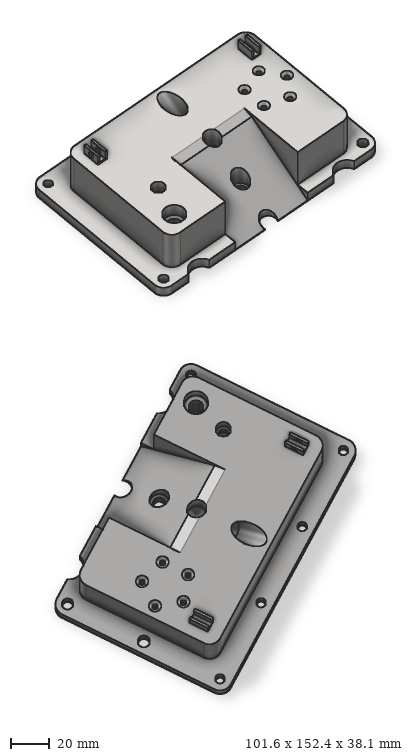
import cadquery as cq
import math

plate_length = 152.4
plate_width = plate_length * 2 / 3
plate_thickness = plate_length / 24
block_height = 4 * plate_thickness
block_top = plate_thickness + block_height
corner_radius = plate_thickness
block_margin = 2 * plate_thickness
block_right_margin = 7.6
plate_right = plate_width / 2
drill_tip_angle = 118.0

rim_hole_inset = plate_thickness
rim_hole_x = plate_right - rim_hole_inset
rim_hole_y = plate_length / 2 - rim_hole_inset
left_hole_diameter = 5.0
left_hole_count = 4
top_middle_hole_diameter = 6.4
top_right_hole_diameter = 6.0
bottom_right_hole_diameter = 5.5
side_notch_y = plate_length / 3
side_notch_radius = 7.6
side_notch_depth = 5.0
middle_notch_radius = 5.0
middle_notch_depth = 7.3

channel_width = plate_length / 3
channel_start_x = 1.8
ramp_start_x = 7.8
ramp_start_z = 30.0
ramp_end_z = 0.5

conical_hole_x = 5.2
conical_hole_diameter = 10.0
conical_hole_depth = 12.6
ramp_hole_x = 27.0
ramp_hole_diameter = 6.9
ramp_counterbore_diameter = 10.2
ramp_counterbore_floor_z = 7.6

sloped_bore_x = -plate_width / 4
sloped_bore_diameter = 11.5
sloped_bore_angle = 35.0
sloped_bore_length = 12.6

ring_center_y = 7 * plate_thickness
ring_radius = 2 * plate_thickness
ring_hole_count = 5
ring_hole_diameter = 2.9
ring_hole_depth = 6.4
countersink_diameter = 6.4
countersink_angle = 90.0

through_hole_center = (5 * plate_thickness, -8 * plate_thickness)
through_hole_diameter = 7.6
through_counterbore_diameter = 12.6
through_counterbore_depth = 8.0
blind_hole_center = (12.5, -7 * plate_thickness)
blind_hole_diameter = 5.0
blind_hole_depth = 12.6
blind_counterbore_diameter = 8.0
blind_counterbore_depth = through_counterbore_depth

lug_x = -plate_width / 4
lug_y = 8.5 * plate_thickness
lug_length = 10.7
lug_width = plate_thickness
lug_height = plate_thickness
lug_wall = 1.4
lug_floor = 0.9
pin_hole_diameter = 3.4


def cylinder(x, y, z_bottom, z_top, diameter):
    """Vertical cylinder between two heights."""
    return cq.Workplane("XY", origin=(x, y, z_bottom)).circle(diameter / 2).extrude(z_top - z_bottom)


def drilled_hole(z_top, diameter, depth):
    """Revolved blind drill shape on the Z axis, depth measured to the shoulder of its tip."""
    radius = diameter / 2
    tip = radius / math.tan(math.radians(drill_tip_angle / 2))
    shoulder_z = z_top - depth
    profile = [(0, z_top), (radius, z_top), (radius, shoulder_z), (0, shoulder_z - tip)]
    return cq.Workplane("XZ").polyline(profile).close().revolve(360, (0, 0, 0), (0, 1, 0))


def make_base():
    plate = cq.Workplane("XY").box(plate_width, plate_length, plate_thickness, centered=(True, True, False))
    plate = plate.edges("|Z").fillet(corner_radius)
    block_width = plate_width - block_margin - block_right_margin
    block_x = (block_margin - block_right_margin) / 2
    block = (
        cq.Workplane("XY", origin=(block_x, 0, 0))
        .box(block_width, plate_length - 2 * block_margin, block_top, centered=(True, True, False))
        .edges("|Z")
        .fillet(corner_radius)
    )
    return plate.union(block)


def rim_cutters():
    cutters = []
    left_pitch = 2 * rim_hole_y / (left_hole_count - 1)
    holes = [(-rim_hole_x, -rim_hole_y + i * left_pitch, left_hole_diameter) for i in range(left_hole_count)]
    holes += [
        (0, rim_hole_y, top_middle_hole_diameter),
        (rim_hole_x, rim_hole_y, top_right_hole_diameter),
        (rim_hole_x, -rim_hole_y, bottom_right_hole_diameter),
    ]
    for x, y, diameter in holes:
        cutters.append(cylinder(x, y, 0, plate_thickness, diameter))

    side_notch_x = plate_right - side_notch_depth + side_notch_radius
    middle_notch_x = plate_right - middle_notch_depth + middle_notch_radius
    for y in (-side_notch_y, side_notch_y):
        cutters.append(cylinder(side_notch_x, y, 0, plate_thickness, 2 * side_notch_radius))
    cutters.append(cylinder(middle_notch_x, 0, 0, block_top, 2 * middle_notch_radius))
    return cutters


def channel_cutter():
    profile = [
        (channel_start_x, block_top),
        (ramp_start_x, ramp_start_z),
        (plate_right, ramp_end_z),
        (plate_right, block_top),
    ]
    return cq.Workplane("XZ").polyline(profile).close().extrude(channel_width / 2, both=True)


def channel_hole_cutters():
    conical = drilled_hole(block_top, conical_hole_diameter, conical_hole_depth).translate((conical_hole_x, 0, 0))
    through = cylinder(ramp_hole_x, 0, 0, block_top, ramp_hole_diameter)
    counterbore = cylinder(ramp_hole_x, 0, ramp_counterbore_floor_z, block_top, ramp_counterbore_diameter)
    return [conical, through, counterbore]


def sloped_bore_cutter():
    overshoot = sloped_bore_diameter
    bore = drilled_hole(overshoot, sloped_bore_diameter, overshoot + sloped_bore_length)
    bore = bore.rotate((0, 0, 0), (0, 1, 0), sloped_bore_angle - 90)
    return bore.translate((sloped_bore_x, 0, block_top))


def ring_hole_cutters():
    radius_step = (countersink_diameter - ring_hole_diameter) / 2
    countersink_depth = radius_step / math.tan(math.radians(countersink_angle / 2))
    countersink = cq.Workplane("XY").add(
        cq.Solid.makeCone(
            ring_hole_diameter / 2,
            countersink_diameter / 2,
            countersink_depth,
            pnt=cq.Vector(0, 0, block_top - countersink_depth),
        )
    )
    hole = drilled_hole(block_top, ring_hole_diameter, ring_hole_depth).union(countersink)
    cutters = []
    for i in range(ring_hole_count):
        angle = math.pi / 2 + i * 2 * math.pi / ring_hole_count
        x = ring_radius * math.cos(angle)
        y = ring_center_y + ring_radius * math.sin(angle)
        cutters.append(hole.translate((x, y, 0)))
    return cutters


def counterbored_hole_cutters():
    x, y = blind_hole_center
    blind = drilled_hole(block_top, blind_hole_diameter, blind_hole_depth).translate((x, y, 0))
    blind_bore = cylinder(x, y, block_top - blind_counterbore_depth, block_top, blind_counterbore_diameter)
    x, y = through_hole_center
    through = cylinder(x, y, 0, block_top, through_hole_diameter)
    through_bore = cylinder(x, y, block_top - through_counterbore_depth, block_top, through_counterbore_diameter)
    return [blind, blind_bore, through, through_bore]


def make_lug(y):
    """U-shaped lug standing on the block, with its slot running along X."""
    lug = cq.Workplane("XY").box(lug_length, lug_width, lug_height, centered=(True, True, False))
    slot = cq.Workplane("XY", origin=(0, 0, lug_floor)).box(
        lug_length, lug_width - 2 * lug_wall, lug_height, centered=(True, True, False)
    )
    return lug.cut(slot).translate((lug_x, y, block_top))


def pin_hole_cutter():
    """Cross hole through both walls of the lug on the -Y side."""
    center = (lug_x, -lug_y, block_top + lug_height / 2)
    return cq.Workplane("XZ", origin=center).circle(pin_hole_diameter / 2).extrude(lug_width / 2, both=True)


result = make_base().cut(channel_cutter())
cutters = rim_cutters() + channel_hole_cutters() + ring_hole_cutters() + counterbored_hole_cutters()
cutters.append(sloped_bore_cutter())
for cutter in cutters:
    result = result.cut(cutter)
for y in (-lug_y, lug_y):
    result = result.union(make_lug(y))
result = result.cut(pin_hole_cutter())